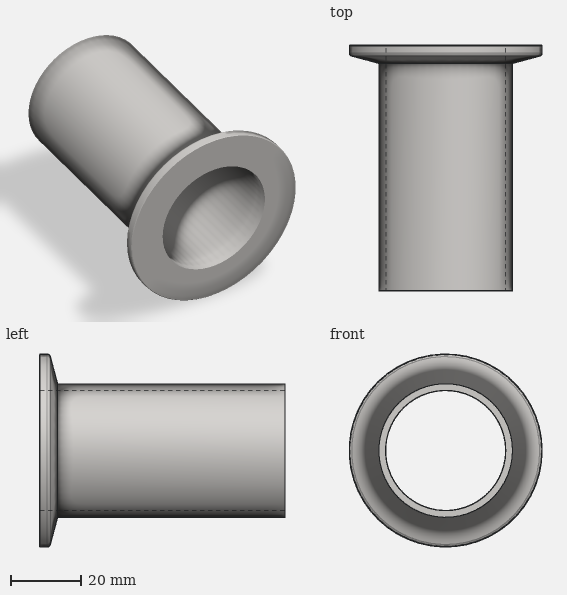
import cadquery as cq
import math

length = 70.0
flange_radius = 27.5
tube_radius = 19.05
bore_radius = 17.1

rim_width = 2.2
cone_angle = math.radians(15)
edge_radius = 1.0
front_chamfer = 0.2

arc_center_r = flange_radius - edge_radius
arc_end_r = arc_center_r + edge_radius * math.sin(cone_angle)
arc_end_y = length - rim_width - edge_radius * math.cos(cone_angle)
arc_mid_angle = (math.pi / 2 - cone_angle) / 2
arc_mid_r = arc_center_r + edge_radius * math.cos(arc_mid_angle)
arc_mid_y = length - rim_width - edge_radius * math.sin(arc_mid_angle)
cone_foot_y = arc_end_y - (arc_end_r - tube_radius) * math.tan(cone_angle)

half_section = (
    cq.Workplane("XY")
    .moveTo(bore_radius, 0)
    .lineTo(tube_radius, 0)
    .lineTo(tube_radius, cone_foot_y)
    .lineTo(arc_end_r, arc_end_y)
    .threePointArc((arc_mid_r, arc_mid_y), (flange_radius, length - rim_width))
    .lineTo(flange_radius, length - front_chamfer)
    .lineTo(flange_radius - front_chamfer, length)
    .lineTo(bore_radius, length)
    .close()
)
result = half_section.revolve(360, (0, 0, 0), (0, 1, 0))